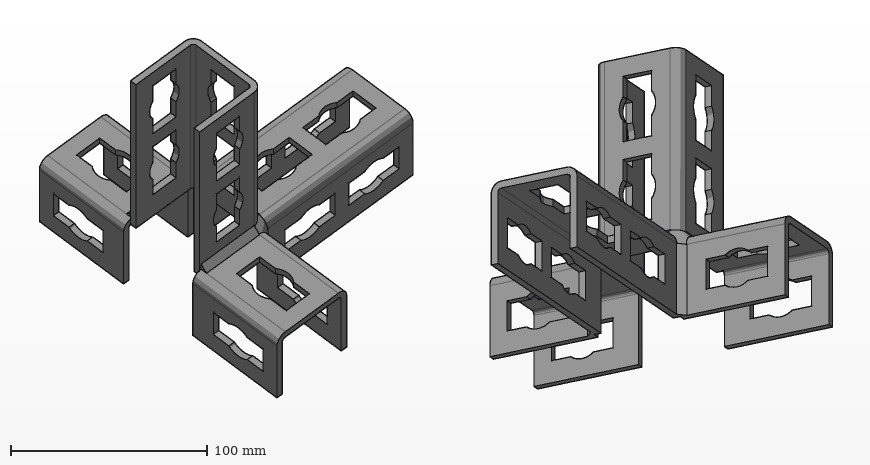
import cadquery as cq
import math

THICKNESS = 4.0
BEND_RADIUS = 6.0
INNER_RADIUS = BEND_RADIUS - THICKNESS
GUSSET_LEG = 4.0

SPAN = 172.0
WIDTH = 50.0
DEPTH = 45.0
ARM_LENGTH = (SPAN - WIDTH) / 2
LONG_LENGTH = 108.0
POST_LENGTH = 103.9

SLOT_LENGTH = 36.0
SLOT_WIDTH = 16.5
BULGE_DIAMETER = 21.2
SLOT_PITCH = 45.8
SLOT_END_MARGIN = 10.1
FLANGE_SLOT_DROP = 24.6

WEB_REACH = 2 * THICKNESS
REACH = 2 * SPAN

POST_FRAME = cq.Plane(origin=(0, 0, DEPTH), xDir=(1, 0, 0), normal=(0, 0, 1))
LONG_FRAME = cq.Plane(origin=(0, 0, DEPTH), xDir=(-1, 0, 0), normal=(0, 1, 0))
ARM_FRAMES = [
    cq.Plane(origin=(side * WIDTH / 2, -WIDTH / 2, DEPTH), xDir=(0, side, 0), normal=(side, 0, 0))
    for side in (-1, 1)
]


def section(frame, start, half_width, top, bottom, radius):
    """Rectangle with its two web corners rounded, drawn at a distance along the channel."""
    return (
        cq.Workplane(frame)
        .workplane(offset=start)
        .moveTo(-half_width, bottom)
        .lineTo(-half_width, top - radius)
        .radiusArc((-half_width + radius, top), radius)
        .lineTo(half_width - radius, top)
        .radiusArc((half_width, top - radius), radius)
        .lineTo(half_width, bottom)
        .close()
    )


def channel_outside(frame, length):
    """Filled outer shape, starting one sheet thickness inside the hub."""
    outline = section(frame, -THICKNESS, WIDTH / 2, 0, -DEPTH, BEND_RADIUS)
    return outline.extrude(length + THICKNESS)


def channel_cavity(frame):
    """Open inside of the channel, running right through the hub."""
    half_width = WIDTH / 2 - THICKNESS
    outline = section(frame, -REACH / 2, half_width, -THICKNESS, -REACH, INNER_RADIUS)
    return outline.extrude(REACH)


def gusset_bar(corner, along, first_leg, length):
    """Triangular bar that fills the corner between two channels."""
    plane = cq.Plane(origin=corner, xDir=first_leg, normal=along)
    corners = [(0, 0), (GUSSET_LEG, 0), (0, GUSSET_LEG)]
    return cq.Workplane(plane).polyline(corners).close().extrude(length)


def gusset_ball(side):
    """Part of a ball that joins the three gusset bars of one side, tangent to their slopes."""
    center = (side * (WIDTH / 2 - BEND_RADIUS), -BEND_RADIUS, DEPTH - BEND_RADIUS)
    radius = (BEND_RADIUS + GUSSET_LEG / 2) * math.sqrt(2)
    octant = cq.Workplane().box(radius, radius, radius)
    octant = octant.translate((side * radius / 2, radius / 2, radius / 2))
    return cq.Workplane().sphere(radius).intersect(octant).translate(center)


def keyhole(frame, height, along, direction, reach):
    """Slot lying along a channel's middle plane, cutting to both sides along a direction."""
    start = frame.toWorldCoords((0, height, along))
    plane = cq.Plane(origin=start, xDir=frame.zDir, normal=direction)
    slot = cq.Workplane(plane).rect(SLOT_LENGTH, SLOT_WIDTH).extrude(reach, both=True)
    bulge = cq.Workplane(plane).circle(BULGE_DIAMETER / 2).extrude(reach, both=True)
    return slot.union(bulge)


def cut_slots(body, frame, length, count):
    """Cut a row of slots through the web and through both flanges of a channel."""
    for index in range(count):
        along = length - SLOT_END_MARGIN - SLOT_LENGTH / 2 - index * SLOT_PITCH
        body = body.cut(keyhole(frame, 0, along, frame.yDir, WEB_REACH))
        body = body.cut(keyhole(frame, -FLANGE_SLOT_DROP, along, frame.xDir, WIDTH))
    return body


CHANNELS = [
    (POST_FRAME, POST_LENGTH, 2),
    (LONG_FRAME, LONG_LENGTH, 2),
    (ARM_FRAMES[0], ARM_LENGTH, 1),
    (ARM_FRAMES[1], ARM_LENGTH, 1),
]

body = cq.Workplane()
for frame, length, _ in CHANNELS:
    body = body.add(channel_outside(frame, length))

flat_width = WIDTH - 2 * BEND_RADIUS
post_to_long = gusset_bar((-flat_width / 2, 0, DEPTH), (1, 0, 0), (0, 1, 0), flat_width)
post_to_arm = gusset_bar((WIDTH / 2, -BEND_RADIUS, DEPTH), (0, -1, 0), (1, 0, 0), flat_width)
arm_to_long = gusset_bar((WIDTH / 2, 0, 0), (0, 0, 1), (1, 0, 0), DEPTH - BEND_RADIUS)
body = body.add(post_to_long)
for bar in (post_to_arm, arm_to_long):
    body = body.add(bar).add(bar.mirror("YZ"))
for side in (-1, 1):
    body = body.add(gusset_ball(side))
body = body.combine()

for frame, _, _ in CHANNELS:
    body = body.cut(channel_cavity(frame))

front_gap = cq.Workplane().box(WIDTH, REACH, REACH)
front_gap = front_gap.translate((0, -DEPTH - REACH / 2, 0))
body = body.cut(front_gap)

hub_gap = cq.Workplane().box(WIDTH, REACH, REACH)
hub_gap = hub_gap.translate((0, -REACH / 2, DEPTH - THICKNESS - REACH / 2))
body = body.cut(hub_gap)

for frame, length, slot_count in CHANNELS:
    body = cut_slots(body, frame, length, slot_count)

result = body